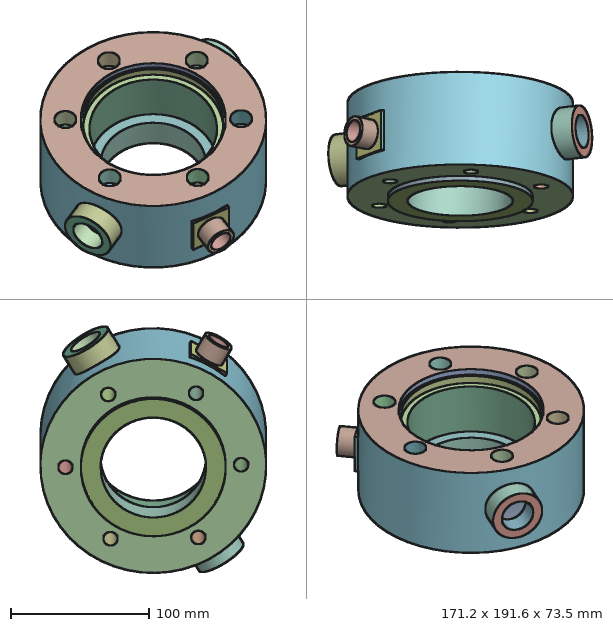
import cadquery as cq
import math

body_radius = 81.8
body_height = 69.9
spigot_radius = 52.5
spigot_height = 3.6
top_z = spigot_height + body_height

bore_radius = 38.1
bore_steps = [(spigot_radius, 4.8), (50.7, 11.0), (46.2, 50.2)]

bolt_count = 6
bolt_circle_radius = 63.5
bolt_hole_radius = 5.2
counterbore_radius = 7.9
counterbore_depth = 15.3

port_reach = 95.8
port_radius = 19.0
port_hole_radius = 12.0
port_hole_depth = 15.5
port_floor_radius = 69.0
port_z = spigot_height + 38.0

connector_angle = -30.0
connector_z = spigot_height + 32.0
pad_side = 29.9
pad_reach = 83.0
tube_radius = 11.0
tube_hole_radius = 8.0
tube_reach = 96.9
tube_hole_depth = tube_reach - pad_reach


def side_plane(angle, reach, z):
    """Plane at a radial distance from the axis, facing outward at the given angle in degrees."""
    facing_x = cq.Plane(origin=(0, 0, z), xDir=(0, 1, 0), normal=(1, 0, 0))
    return cq.Workplane(facing_x).transformed(rotate=(0, angle, 0)).workplane(offset=reach)


def make_body():
    spigot = cq.Workplane("XY").circle(spigot_radius).extrude(spigot_height)
    ring = cq.Workplane("XY", origin=(0, 0, spigot_height)).circle(body_radius).extrude(body_height)
    return ring.union(spigot)


def make_port_hole(face):
    """Blind hole whose floor is a shallow concave trough running along X."""
    drill = face.circle(port_hole_radius).extrude(-port_hole_depth)
    trough = (
        face.workplane(offset=port_floor_radius - port_hole_depth)
        .transformed(rotate=(0, 90, 0))
        .circle(port_floor_radius)
        .extrude(port_radius, both=True)
    )
    return drill.intersect(trough)


def add_port(part, angle):
    face = side_plane(angle, port_reach, port_z)
    part = part.union(face.circle(port_radius).extrude(-port_reach))
    return part.cut(make_port_hole(face))


def add_connector(part):
    pad_face = side_plane(connector_angle, pad_reach, connector_z)
    tube_face = side_plane(connector_angle, tube_reach, connector_z)
    part = part.union(pad_face.rect(pad_side, pad_side).extrude(-pad_reach))
    part = part.union(tube_face.circle(tube_radius).extrude(-tube_hole_depth))
    return part.cut(tube_face.circle(tube_hole_radius).extrude(-tube_hole_depth))


def cut_bore(part):
    part = part.cut(cq.Workplane("XY").circle(bore_radius).extrude(top_z))
    for radius, depth in bore_steps:
        part = part.cut(cq.Workplane("XY", origin=(0, 0, top_z)).circle(radius).extrude(-depth))
    return part


def cut_bolt_holes(part):
    return (
        part.faces(">Z")
        .workplane(origin=(0, 0, top_z))
        .polarArray(bolt_circle_radius, 90, 360, bolt_count)
        .cboreHole(2 * bolt_hole_radius, 2 * counterbore_radius, counterbore_depth)
    )


result = make_body()
for port_angle in (-90, 90):
    result = add_port(result, port_angle)
result = add_connector(result)
result = cut_bore(result)
result = cut_bolt_holes(result)